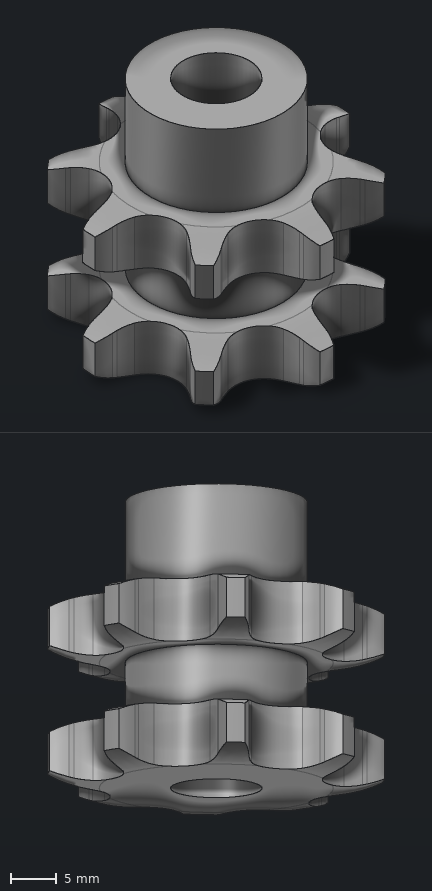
import cadquery as cq
import math

overall_width = 34.95
total_height = 32.0
bore_diameter = 10.0
hub_diameter = 20.0

plate_thickness = 7.0
plate_spacing = 14.0
plate_bases = (0, plate_spacing)

flat_face_radius = 12.82
side_round_radius = 13.28

tooth_count = 8
chain_pitch = 12.7
roller_diameter = 8.53
roller_clearance = 0.077

seating_diameter_factor = 1.005
working_radius_factor = 1.3025
working_center_factor = 0.8
topping_center_factor = 1.4
pitch_radius = chain_pitch / 2 / math.sin(math.pi / tooth_count)
seating_angle = math.radians(35 + 60 / tooth_count)
working_angle = math.radians(18 - 56 / tooth_count)
topping_angle = math.radians(17 - 64 / tooth_count)

working_center_distance = working_center_factor * roller_diameter
topping_center_distance = topping_center_factor * roller_diameter

seating_radius = (seating_diameter_factor * roller_diameter + roller_clearance) / 2
working_radius = working_radius_factor * roller_diameter + roller_clearance / 2
topping_radius = (
    working_center_distance * math.cos(working_angle)
    + topping_center_distance * math.cos(topping_angle)
    - working_radius
)
flank_length = (
    topping_center_distance * math.sin(topping_angle)
    - working_center_distance * math.sin(working_angle)
)


def offset(point, distance, angle):
    """Move a point by a distance along a direction angle."""
    return (point[0] + distance * math.cos(angle), point[1] + distance * math.sin(angle))


def arc_points(center, radius, start_angle, end_angle):
    """Middle and end point of an arc."""
    middle = offset(center, radius, (start_angle + end_angle) / 2)
    return middle, offset(center, radius, end_angle)


root = (pitch_radius - seating_radius, 0)
seating_end_angle = math.pi / 2 + seating_angle
seating_middle, seating_end = arc_points((pitch_radius, 0), seating_radius, math.pi, seating_end_angle)

flank_normal = seating_end_angle - working_angle
working_center = offset(seating_end, -working_radius, seating_end_angle)
working_middle, working_end = arc_points(working_center, working_radius, seating_end_angle, flank_normal)
flank_end = offset(working_end, flank_length, flank_normal - math.pi / 2)

topping_center = offset(flank_end, topping_radius, flank_normal)
tip_angle = -math.acos((overall_width / 2 - topping_center[0]) / topping_radius)
topping_middle, tip = arc_points(topping_center, topping_radius, flank_normal - math.pi, tip_angle)
tip_radius = math.hypot(*tip)


def tooth_gap():
    """Cutter for one gap, widening along the tip radii beyond the blank."""
    overshoot_factor = 1.2
    outer_corner = (overshoot_factor * tip[0], overshoot_factor * tip[1])
    half_gap = (
        cq.Workplane("XY")
        .moveTo(*root)
        .threePointArc(seating_middle, seating_end)
        .threePointArc(working_middle, working_end)
        .lineTo(*flank_end)
        .threePointArc(topping_middle, tip)
        .lineTo(*outer_corner)
        .lineTo(outer_corner[0], 0)
        .close()
        .extrude(plate_thickness)
    )
    return half_gap.union(half_gap.mirror("XZ"))


def plate_blank():
    """Round plate whose two faces curve towards each other near the rim."""
    rim_angle = math.asin((tip_radius - flat_face_radius) / side_round_radius)
    round_center = (flat_face_radius, side_round_radius)
    middle, rim = arc_points(
        round_center, side_round_radius, -math.pi / 2, rim_angle - math.pi / 2
    )
    return (
        cq.Workplane("XZ")
        .lineTo(flat_face_radius, 0)
        .threePointArc(middle, rim)
        .lineTo(rim[0], plate_thickness - rim[1])
        .threePointArc(
            (middle[0], plate_thickness - middle[1]), (flat_face_radius, plate_thickness)
        )
        .lineTo(0, plate_thickness)
        .close()
        .revolve(360, (0, 0, 0), (0, 1, 0))
    )


def toothed_plate():
    plate = plate_blank()
    gap = tooth_gap()
    for index in range(tooth_count):
        plate = plate.cut(gap.rotate((0, 0, 0), (0, 0, 1), index * 360 / tooth_count))
    return plate


sprocket = cq.Workplane("XY").circle(hub_diameter / 2).extrude(total_height)
plate = toothed_plate()
for base in plate_bases:
    sprocket = sprocket.union(plate.translate((0, 0, base)))

bore = cq.Workplane("XY").circle(bore_diameter / 2).extrude(total_height)
result = sprocket.cut(bore)